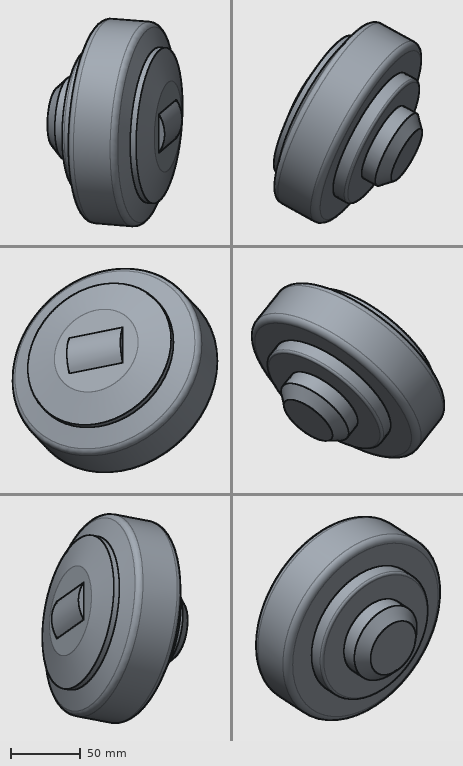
import cadquery as cq

tip_radius = 21.6
shaft_radius = 30.0
collar_radius = 51.3
wheel_radius = 74.5
hub_radius = 56.6
hub_face_radius = 33.1

tip_chamfer_length = 8.3
shaft_length = 20.0
collar_width = 11.2
wheel_width = 36.5
wheel_cone_length = 6.3
hub_rim_width = 4.5
hub_cone_length = 6.3

collar_fillet = 2.0
wheel_fillet = 5.0

key_length = 42.3
key_chord = 28.9
key_height = 4.3

collar_start = shaft_length
wheel_start = collar_start + collar_width
wheel_end = wheel_start + wheel_width
hub_start = wheel_end + wheel_cone_length
hub_rim_end = hub_start + hub_rim_width
hub_face = hub_rim_end + hub_cone_length


def disc(start, width, radius):
    """Round disc on the X axis."""
    return cq.Workplane("YZ", origin=(start, 0, 0)).circle(radius).extrude(width)


def turned(profile):
    """Revolve (x, radius) points around the X axis."""
    return cq.Workplane("XY").polyline(profile).close().revolve(360, (0, 0, 0), (1, 0, 0))


def make_shaft():
    return turned([
        (0, 0),
        (0, tip_radius),
        (tip_chamfer_length, shaft_radius),
        (collar_start, shaft_radius),
        (collar_start, 0),
    ])


def make_collar():
    return disc(collar_start, collar_width, collar_radius).edges("<X").fillet(collar_fillet)


def make_wheel():
    """Wheel with a conical back; both rim edges are rounded tangentially."""
    wheel = turned([
        (wheel_start, 0),
        (wheel_start, wheel_radius),
        (wheel_end, wheel_radius),
        (hub_start, hub_radius),
        (hub_start, 0),
    ])
    rim_edges = cq.selectors.RadiusNthSelector(-1)
    return wheel.edges("%CIRCLE").edges(rim_edges).fillet(wheel_fillet)


def make_hub():
    return turned([
        (hub_start, 0),
        (hub_start, hub_radius),
        (hub_rim_end, hub_radius),
        (hub_face, hub_face_radius),
        (hub_face, 0),
    ])


def make_key():
    return (
        cq.Workplane("XZ")
        .moveTo(hub_face, -key_chord / 2)
        .threePointArc((hub_face + key_height, 0), (hub_face, key_chord / 2))
        .close()
        .extrude(key_length / 2, both=True)
    )


result = make_shaft().union(make_collar()).union(make_wheel()).union(make_hub()).union(make_key())